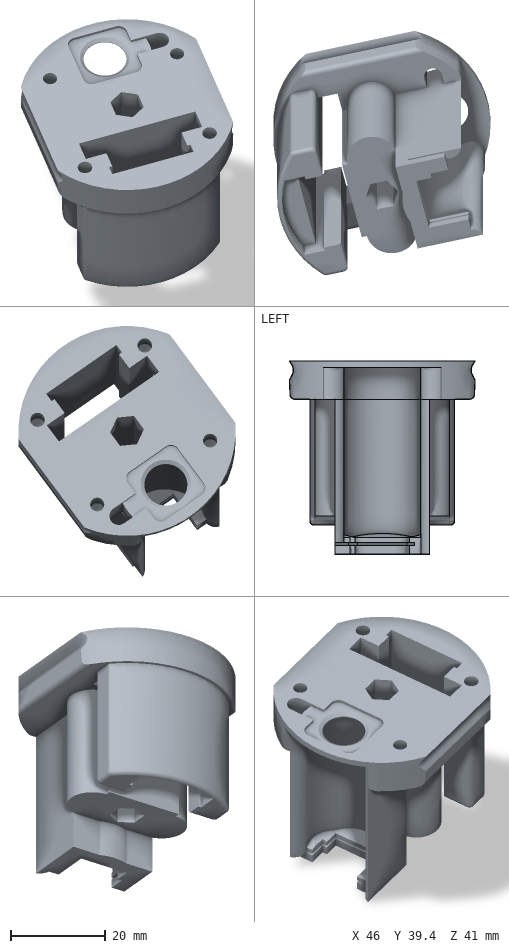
import cadquery as cq
import math

plate_bottom = -8.15
cavity_top = -1.43
motor_bottom = -32.85
carriage_bottom = -34.78
groove_top = -38.5
groove_bottom = -39.05
housing_bottom = -41.0

plate_radius = 23.0
plate_half_width = 19.7
rail_waist_half_width = 19.15
rail_root_half_width = 18.85
rail_side_half_width = 19.55
rail_upper_flank = -0.87
rail_lower_flank = -3.05
rail_side_top = -4.1
bottom_round = 1.05

outside_x = -2 * plate_radius

tube_x = -14.1
tube_radius = 8.5
tube_outer_radius = 9.4
lip_round = 2.8
housing_half_width = 10.05
rib_thickness = 0.35

recess_size = 13.05
recess_corner = 1.85
recess_depth = 0.7
lens_hole_diameter = 9.1
lens_chamfer_diameter = 10.65
lens_chamfer_depth = 0.55
wire_slot_width = 3.9
wire_slot_end = 14.25

screw_holes = [
    (13.0, 14.0, 3.1),
    (13.0, -14.0, 3.1),
    (-9.45, 14.55, 3.0),
    (-12.0, -13.05, 3.0),
]
screw_hole_depth = 4.6
drill_tip_angle = 118.0

motor_radius = 5.4
motor_half_length = 14.2
motor_pad_x = 6.55
hex_across_corners = 7.18

carriage_x = 10.9
carriage_radius = 22.2
carriage_half_width = 15.3
carriage_corner = 1.05
carriage_bottom_round = 0.87
slot_half_width = 13.05
mouth_half_width = 8.4
key_half_width = 9.15
key_x = 14.65
slot_back_x = 16.6
undercut_top = -30.75
skin_thickness = 1.05

floor_edge = -37.45
floor_top = -36.35
bevel_angle = 15.0
window_half_width = 5.75
window_x = -8.9
step_half_width = 6.8
step_x = -12.25
floor_end_back = -16.05
floor_end_front = -17.5
groove_front = -6.85
groove_x = -8.05
groove_tongue_x = -7.15
groove_tongue_half_width = 5.2


def block(x0, x1, y0, y1, z0, z1):
    """Axis-aligned box between two opposite corners."""
    return cq.Workplane("XY").box(x1 - x0, y1 - y0, z1 - z0, centered=False).translate((x0, y0, z0))


def cylinder(x, radius, z0, z1):
    """Upright cylinder on the XZ mid-plane."""
    return cq.Workplane("XY", origin=(x, 0, z0)).circle(radius).extrude(z1 - z0)


def cavity(z0, z1):
    """Tube bore, opening toward -X through two convex lips that run out into the plate rim."""
    rim_reach = plate_radius - lip_round
    bore_reach = tube_radius + lip_round
    lip_x = (rim_reach**2 - bore_reach**2 + tube_x**2) / (2 * tube_x)
    lip_y = math.sqrt(rim_reach**2 - lip_x**2)
    rim_x = lip_x * plate_radius / rim_reach
    rim_y = lip_y * plate_radius / rim_reach
    bore_x = tube_x + (lip_x - tube_x) * tube_radius / bore_reach
    bore_y = lip_y * tube_radius / bore_reach
    bisector = math.atan2(rim_y + bore_y - 2 * lip_y, rim_x + bore_x - 2 * lip_x)
    middle_x = lip_x + lip_round * math.cos(bisector)
    middle_y = lip_y + lip_round * math.sin(bisector)
    return (
        cq.Workplane("XY", origin=(0, 0, z0))
        .moveTo(outside_x, rim_y)
        .lineTo(rim_x, rim_y)
        .threePointArc((middle_x, middle_y), (bore_x, bore_y))
        .threePointArc((tube_x + tube_radius, 0), (bore_x, -bore_y))
        .threePointArc((middle_x, -middle_y), (rim_x, -rim_y))
        .lineTo(outside_x, -rim_y)
        .close()
        .extrude(z1 - z0)
    )


def screw_hole(x, y, diameter):
    """Blind drilled hole with a conical end."""
    radius = diameter / 2
    tip_depth = radius / math.tan(math.radians(drill_tip_angle / 2))
    return (
        cq.Workplane("XZ", origin=(x, y, 0))
        .polyline([(0, 0), (radius, 0), (radius, -screw_hole_depth), (0, -screw_hole_depth - tip_depth)])
        .close()
        .revolve(360, (0, 0), (0, 1))
    )


def carriage_slot():
    """Stepped slot that runs down through the plate and between the carriage legs."""
    slot = block(motor_pad_x, carriage_x, -slot_half_width, slot_half_width, carriage_bottom, 0)
    mouth = block(carriage_x, key_x, -mouth_half_width, mouth_half_width, carriage_bottom, 0)
    key = block(key_x, slot_back_x, -key_half_width, key_half_width, carriage_bottom, 0)
    return slot.union(mouth).union(key)


def hexagon_hole():
    """Hexagonal hole on the Z axis through the plate and the motor body."""
    return cq.Workplane("XY").polygon(6, hex_across_corners).extrude(motor_bottom)


def make_plate():
    """Round plate with two grooved flat sides, openings and the upper end of the tube cavity."""
    rail_middle = (rail_upper_flank + rail_lower_flank) / 2
    profile = (
        cq.Workplane("YZ", origin=(-plate_radius, 0, 0))
        .moveTo(-plate_half_width, 0)
        .lineTo(plate_half_width, 0)
        .lineTo(rail_waist_half_width, rail_upper_flank)
        .threePointArc((rail_root_half_width, rail_middle), (rail_waist_half_width, rail_lower_flank))
        .lineTo(plate_half_width, rail_side_top)
        .lineTo(rail_side_half_width, plate_bottom + bottom_round)
        .radiusArc((rail_side_half_width - bottom_round, plate_bottom), bottom_round)
        .lineTo(bottom_round - rail_side_half_width, plate_bottom)
        .radiusArc((-rail_side_half_width, plate_bottom + bottom_round), bottom_round)
        .lineTo(-plate_half_width, rail_side_top)
        .lineTo(-rail_waist_half_width, rail_lower_flank)
        .threePointArc((-rail_root_half_width, rail_middle), (-rail_waist_half_width, rail_upper_flank))
        .close()
        .extrude(2 * plate_radius)
    )
    plate = cylinder(0, plate_radius, plate_bottom, 0).intersect(profile)
    plate = plate.cut(cavity(plate_bottom, cavity_top)).cut(carriage_slot()).cut(hexagon_hole())

    half_recess = recess_size / 2
    recess = block(tube_x - half_recess, tube_x + half_recess, -half_recess, half_recess, -recess_depth, 0)
    plate = plate.cut(recess.edges("|Z").fillet(recess_corner))
    plate = plate.cut(cylinder(tube_x, lens_hole_diameter / 2, cavity_top, 0))
    chamfer = (
        cq.Workplane("XY", origin=(tube_x, 0, -recess_depth))
        .circle(lens_chamfer_diameter / 2)
        .workplane(offset=-lens_chamfer_depth)
        .circle(lens_hole_diameter / 2)
        .loft()
    )
    plate = plate.cut(chamfer)

    half_slot = wire_slot_width / 2
    end_y = wire_slot_end - half_slot
    slot_end = cylinder(tube_x, half_slot, plate_bottom, 0).translate((0, end_y, 0))
    through = block(tube_x - half_slot, tube_x + half_slot, 0, end_y, plate_bottom, 0).union(slot_end)
    through = through.cut(cylinder(tube_x, housing_half_width, plate_bottom, 0))
    shallow = block(tube_x - half_slot, tube_x + half_slot, 0, end_y, -recess_depth, 0)
    plate = plate.cut(through).cut(shallow)

    for x, y, diameter in screw_holes:
        plate = plate.cut(screw_hole(x, y, diameter))
    return plate


def side_band(x0, x1, z0, z1):
    """Solid between the flat sides of the housing, hollowed out around the outside of the tube."""
    band = block(x0, x1, -housing_half_width, housing_half_width, z0, z1)
    return band.cut(cylinder(tube_x, tube_outer_radius, z0, z1))


def contact_groove():
    """Thin slot for a contact plate, open toward -X and +Y, whose middle reaches a little further in."""
    groove = block(outside_x, groove_x, groove_front, housing_half_width, groove_bottom, groove_top)
    tongue = block(
        groove_x, groove_tongue_x, -groove_tongue_half_width, groove_tongue_half_width,
        groove_bottom, groove_top,
    )
    return groove.union(tongue)


def make_motor():
    """Rounded motor body with two wings that reach around the tube."""
    length = plate_bottom - motor_bottom
    base = cq.Workplane("XY", origin=(0, 0, motor_bottom))
    motor = base.slot2D(2 * motor_half_length, 2 * motor_radius, 90).extrude(length)
    flat_half_length = motor_half_length - motor_radius
    pad = block(0, motor_pad_x, -flat_half_length, flat_half_length, motor_bottom, plate_bottom)
    wings = side_band(tube_x, -motor_radius, motor_bottom, plate_bottom)
    tube = cylinder(tube_x, tube_outer_radius, motor_bottom, plate_bottom)
    return motor.union(pad).cut(tube).union(wings).cut(hexagon_hole())


def make_carriage():
    """U-shaped pair of legs with a round back, rounded lower edges and an undercut inside."""
    envelope = block(
        carriage_x, carriage_radius, -carriage_half_width, carriage_half_width,
        carriage_bottom, plate_bottom,
    )
    body = cylinder(0, carriage_radius, carriage_bottom, plate_bottom).intersect(envelope)
    body = body.edges("|Z").fillet(carriage_corner)
    body = body.faces("<Z").edges().fillet(carriage_bottom_round)
    undercut = block(
        key_x, carriage_radius, -key_half_width, key_half_width, carriage_bottom, undercut_top
    ).intersect(cylinder(0, carriage_radius - skin_thickness, carriage_bottom, undercut_top))
    return body.cut(carriage_slot()).cut(undercut)


def make_rib(side):
    """Thin upright strip on one side (+1 or -1); the +Y one stands on the contact groove."""
    bottom = groove_top if side > 0 else housing_bottom
    band = side_band(tube_x - rib_thickness, tube_x, bottom, plate_bottom)
    return band.solids(">Y" if side > 0 else "<Y")


def make_corner(side):
    """Block under one motor wing (+1 on the +Y side, -1 on the -Y side)."""
    band = side_band(tube_x, -motor_radius, housing_bottom, motor_bottom).cut(contact_groove())
    return band.solids(">Y" if side > 0 else "<Y")


def floor_half(side, end_x):
    """Half of the floor inside the tube, on one side (+1 or -1), bevelled down toward its -X end."""
    y0, y1 = sorted((0, side * housing_half_width))
    half = cavity(housing_bottom, floor_top).intersect(block(end_x, 0, y0, y1, housing_bottom, floor_top))
    bevel_height = floor_top - floor_edge
    bevel_length = bevel_height / math.tan(math.radians(bevel_angle))
    end_bevel = (
        cq.Workplane("XZ", origin=(end_x, y1, floor_edge))
        .polyline([(0, 0), (bevel_length, bevel_height), (0, bevel_height)])
        .close()
        .extrude(y1 - y0)
    )
    return half.cut(end_bevel)


def make_housing():
    """Tube wall with two square arms toward -X, a bevelled floor, its window and contact groove."""
    housing = cylinder(tube_x, tube_outer_radius, housing_bottom, plate_bottom)
    arm_x = tube_x - rib_thickness
    arms = block(-plate_radius, arm_x, -housing_half_width, housing_half_width, housing_bottom, plate_bottom)
    housing = housing.union(arms).cut(cavity(housing_bottom, plate_bottom))

    housing = housing.cut(block(outside_x, tube_x, 0, housing_half_width, housing_bottom, groove_top))
    sill = block(floor_end_back, tube_x, 0, housing_half_width, housing_bottom, groove_bottom)
    housing = housing.union(sill.cut(cavity(housing_bottom, groove_bottom)))
    housing = housing.union(floor_half(1, floor_end_back)).union(floor_half(-1, floor_end_front))

    window = block(outside_x, window_x, -window_half_width, window_half_width, housing_bottom, floor_edge)
    flare = (
        cq.Workplane("XY", origin=((outside_x + window_x) / 2, 0, floor_edge))
        .rect(window_x - outside_x, 2 * window_half_width)
        .extrude(floor_top - floor_edge, taper=bevel_angle - 90)
    )
    flare = flare.intersect(cavity(floor_edge, floor_top))
    step = block(outside_x, step_x, 0, step_half_width, housing_bottom, floor_top)
    return housing.cut(window).cut(flare).cut(step).cut(contact_groove())


plate = make_plate()
motor = make_motor()
carriage = make_carriage()
housing = make_housing()
sides = (1, -1)
ribs = [make_rib(side) for side in sides]
corners = [make_corner(side) for side in sides]

result = cq.Compound.makeCompound(
    [body.solids().val() for body in (plate, motor, carriage, housing, *ribs, *corners)]
)